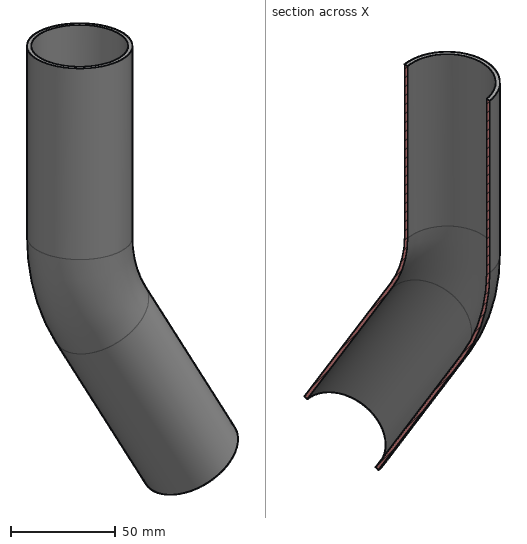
import cadquery as cq
import math

outer_diameter = 50.8
inner_diameter = 46.58
leg_length = 101.6
bend_radius = 88.9
bend_angle = 30.0


def point_on_bend(angle_degrees):
    """Centreline point (Y, Z) after turning the given angle from the top of the bend."""
    angle = math.radians(angle_degrees)
    return (bend_radius * (1 - math.cos(angle)), -bend_radius * math.sin(angle))


def make_centreline():
    """Path in the YZ plane, from the upper end down, curving toward +Y."""
    bend_end_y, bend_end_z = point_on_bend(bend_angle)
    slope = math.radians(bend_angle)
    lower_end = (
        bend_end_y + leg_length * math.sin(slope),
        bend_end_z - leg_length * math.cos(slope),
    )
    return (
        cq.Workplane("YZ")
        .moveTo(0, leg_length)
        .lineTo(0, 0)
        .threePointArc(point_on_bend(bend_angle / 2), (bend_end_y, bend_end_z))
        .lineTo(*lower_end)
    )


def make_tube():
    """Sweep the ring-shaped section along the centreline."""
    section = (
        cq.Workplane("XY", origin=(0, 0, leg_length))
        .circle(outer_diameter / 2)
        .circle(inner_diameter / 2)
    )
    return section.sweep(make_centreline())


result = make_tube()